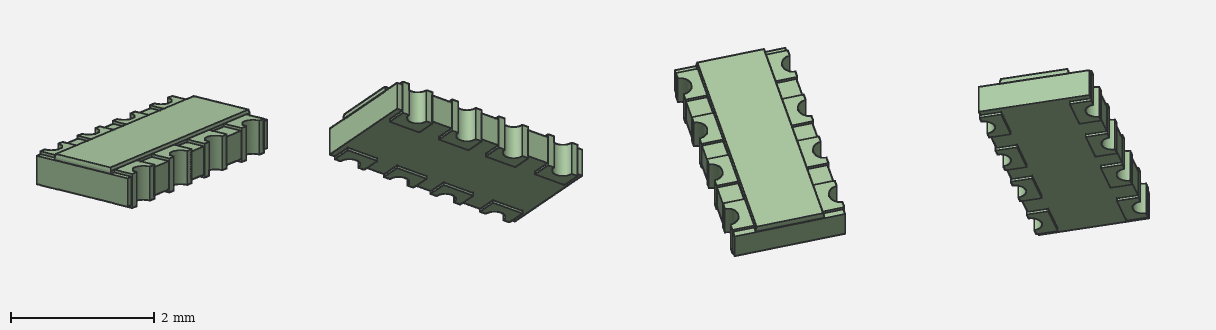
import cadquery as cq


substrate_length = 3.2
substrate_width = 1.6
substrate_height = 0.42
substrate_offset_x = -0.003

terminal_span = 1.62
terminal_length = 0.512
terminal_step = 0.04
bore_radius = 0.15
inner_terminal_y = 0.403
outer_terminal_y = 1.255

cover_width = 0.992
cover_end_gap = 0.01
cover_taper_height = 0.048
cover_taper_side = 0.015
cover_taper_end = 0.01

substrate_top = terminal_step + substrate_height
terminal_top = substrate_top + terminal_step
terminal_outer_x = terminal_span / 2
terminal_inner_x = cover_width / 2
terminal_width = terminal_outer_x - terminal_inner_x
terminal_centre_x = (terminal_outer_x + terminal_inner_x) / 2
cover_length = substrate_length - 2 * cover_end_gap
cover_top_width = cover_width - 2 * cover_taper_side
cover_top_length = cover_length - 2 * cover_taper_end
terminal_positions = [
    (side, y)
    for side in (-1, 1)
    for y in (-outer_terminal_y, -inner_terminal_y, inner_terminal_y, outer_terminal_y)
]


def terminal_block(side, y):
    """Plain block filling the whole terminal envelope."""
    return (
        cq.Workplane("XY")
        .center(side * terminal_centre_x, y)
        .rect(terminal_width, terminal_length)
        .extrude(terminal_top)
    )


def make_substrate():
    """Ceramic slab with a rectangular recess in its edge for every terminal."""
    slab = (
        cq.Workplane("XY")
        .workplane(offset=terminal_step)
        .center(substrate_offset_x, 0)
        .rect(substrate_width, substrate_length)
        .extrude(substrate_height)
    )
    for side, y in terminal_positions:
        slab = slab.cut(terminal_block(side, y))
    return slab


def make_terminal(side, y):
    """Block with a half-round bore running down its outer face."""
    bore = (
        cq.Workplane("XY")
        .center(side * terminal_outer_x, y)
        .circle(bore_radius)
        .extrude(terminal_top)
    )
    return terminal_block(side, y).cut(bore)


def make_cover():
    """Straight-sided base level with the terminals, and a tapered layer above it."""
    base = (
        cq.Workplane("XY")
        .workplane(offset=substrate_top)
        .rect(cover_width, cover_length)
        .extrude(terminal_step)
    )
    taper = (
        cq.Workplane("XY")
        .workplane(offset=terminal_top)
        .rect(cover_width, cover_length)
        .workplane(offset=cover_taper_height)
        .rect(cover_top_width, cover_top_length)
        .loft(ruled=True)
    )
    return base.union(taper)


substrate = make_substrate()
cover = make_cover()
terminals = [make_terminal(side, y) for side, y in terminal_positions]

result = cq.Compound.makeCompound(
    [substrate.val(), cover.val(), *[terminal.val() for terminal in terminals]]
)